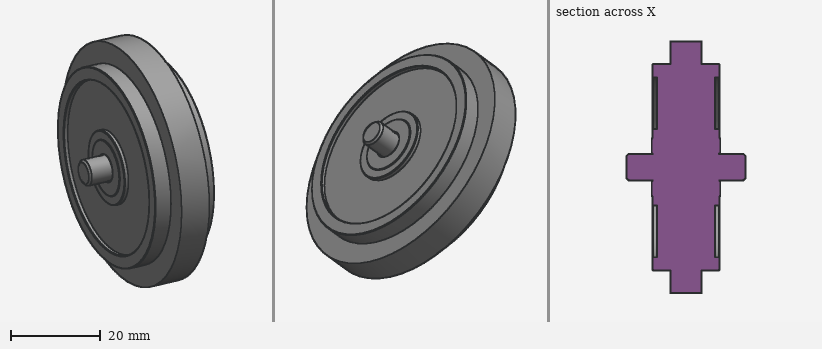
import cadquery as cq

flange_diameter = 56.0
flange_width = 7.0
rim_diameter = 46.0
rim_width = 15.0
recess_diameter = 40.0
recess_depth = 1.0
boss_diameter = 17.15
bearing_diameter = 13.0
bearing_projection = 0.15
axle_diameter = 6.0
axle_length = 26.5

edge_chamfer = 0.15
bearing_bore_chamfer = 0.3
axle_chamfer = 0.5


def disc(diameter, width, chamfer=0.0):
    """Disc centred on the origin with its axis along Y and both edges chamfered."""
    body = cq.Workplane("XZ", origin=(0, width / 2, 0)).circle(diameter / 2).extrude(width)
    if chamfer:
        body = body.faces("<Y or >Y").edges().chamfer(chamfer)
    return body


def side_recess(side):
    """Ring-shaped recess between rim and boss, with a chamfered mouth; side is -1 or 1."""
    face = rim_width / 2
    floor = face - recess_depth
    inner = boss_diameter / 2
    outer = recess_diameter / 2
    profile = [
        (inner, side * floor),
        (outer, side * floor),
        (outer, side * (face - edge_chamfer)),
        (outer + edge_chamfer, side * face),
        (inner - edge_chamfer, side * face),
        (inner, side * (face - edge_chamfer)),
    ]
    return cq.Workplane("XY").polyline(profile).close().revolve(360, (0, 0, 0), (0, 1, 0))


def bore_chamfer(side):
    """Conical countersink around the axle at the bearing face; side is -1 or 1."""
    face = rim_width / 2 + bearing_projection
    radius = axle_diameter / 2
    profile = [
        (0, side * (face - bearing_bore_chamfer)),
        (radius, side * (face - bearing_bore_chamfer)),
        (radius + bearing_bore_chamfer, side * face),
        (0, side * face),
    ]
    return cq.Workplane("XY").polyline(profile).close().revolve(360, (0, 0, 0), (0, 1, 0))


wheel = disc(flange_diameter, flange_width)
wheel = wheel.union(disc(rim_diameter, rim_width, edge_chamfer))
bearing_width = rim_width + 2 * bearing_projection
wheel = wheel.union(disc(bearing_diameter, bearing_width, edge_chamfer))

for side in (-1, 1):
    wheel = wheel.cut(side_recess(side))
    wheel = wheel.cut(bore_chamfer(side))

result = wheel.union(disc(axle_diameter, axle_length, axle_chamfer))